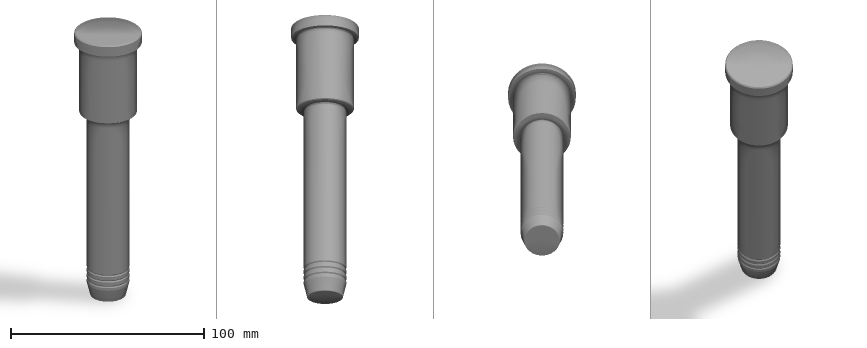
import cadquery as cq

total_length = 151.0
head_radius = 17.5
head_height = 6.0
sleeve_radius = 15.0
sleeve_bottom = 105.0
shaft_radius = 11.0

tip_radius = 9.2
taper_height = 7.2

head_chamfer = 0.6
sleeve_chamfer = 0.5
tip_fillet = 0.5

groove_width = 1.2
groove_depth = 0.5
groove_count = 3
groove_pitch = 3.2
lowest_groove_bottom = 8.8
head_relief_depth = 0.23

head_bottom = total_length - head_height


def cylinder(radius, bottom, top):
    """Solid cylinder on the Z axis between two heights."""
    return cq.Workplane("XY").workplane(offset=bottom).circle(radius).extrude(top - bottom)


def v_groove_cut(radius, depth, bottom):
    """Ring that cuts a V-shaped groove into a cylinder of the given radius."""
    middle = bottom + groove_width / 2
    top = bottom + groove_width
    profile = cq.Workplane("XZ").moveTo(radius, bottom)
    profile = profile.lineTo(radius - depth, middle).lineTo(radius, top).close()
    return profile.revolve(360, (0, 0, 0), (0, 1, 0))


def make_shaft():
    """Grooved shaft with a tapered, rounded tip."""
    outline = [
        (0, 0),
        (tip_radius, 0),
        (shaft_radius, taper_height),
        (shaft_radius, sleeve_bottom),
        (0, sleeve_bottom),
    ]
    shaft = cq.Workplane("XZ").polyline(outline).close().revolve(360, (0, 0, 0), (0, 1, 0))
    shaft = shaft.faces("<Z").edges().fillet(tip_fillet)
    for index in range(groove_count):
        bottom = lowest_groove_bottom + index * groove_pitch
        shaft = shaft.cut(v_groove_cut(shaft_radius, groove_depth, bottom))
    relief_bottom = sleeve_bottom - groove_width
    relief = cylinder(shaft_radius, relief_bottom, sleeve_bottom)
    relief = relief.cut(cylinder(shaft_radius - groove_depth, relief_bottom, sleeve_bottom))
    return shaft.cut(relief)


def make_sleeve():
    """Thick section with a chamfered lower edge and a relief under the head."""
    sleeve = cylinder(sleeve_radius, sleeve_bottom, head_bottom)
    sleeve = sleeve.faces("<Z").edges().chamfer(sleeve_chamfer)
    return sleeve.cut(v_groove_cut(sleeve_radius, head_relief_depth, head_bottom - groove_width))


def make_head():
    """Flat head with a chamfered top edge."""
    head = cylinder(head_radius, head_bottom, total_length)
    return head.faces(">Z").edges().chamfer(head_chamfer)


result = make_shaft().union(make_sleeve()).union(make_head())